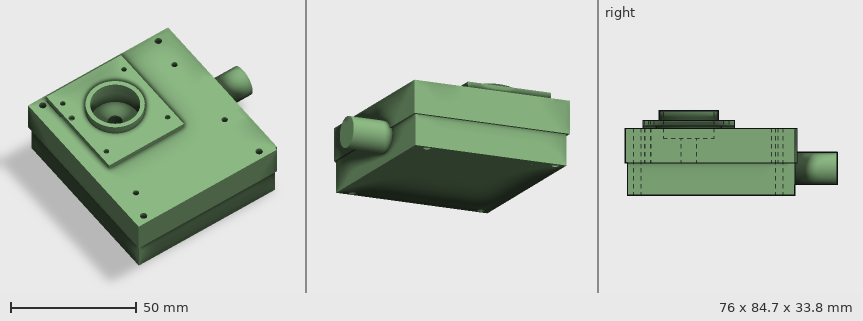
import cadquery as cq


TOP_LENGTH_X = 76.0
TOP_LENGTH_Y = 68.6
HOUSING_HEIGHT = 26.8
RAIL_HEIGHT = 13.0
RAIL_WIDTH = 5.0
OVERHANG_X = 1.2
OVERHANG_Y = 0.9

TUBE_DIAMETER = 13.0
TUBE_CENTER_X = 29.1
TUBE_CENTER_Z = 10.8
TOTAL_LENGTH_Y = 84.7

AXIS_X = 24.2
AXIS_Y = 25.4
BORE_DIAMETER = 20.0
BORE_FLOOR_Z = 22.8
FLOOR_HOLE_DIAMETER = 6.0

MOUNT_HOLE_DIAMETER = 3.0
MOUNT_INSET_X = 3.4
MOUNT_FRONT_Y = 4.8
MOUNT_BACK_Y = 61.4
SCREW_HOLE_DIAMETER = 2.5
ACCESS_SCREW = (17.4, 9.0)
OPEN_SCREWS = [(16.95, 59.65), (51.4, 59.65), (61.3, 9.15)]

FLANGE_LENGTH_X = 43.1
FLANGE_LENGTH_Y = 36.6
FLANGE_TOP_Z = 29.9
FLANGE_GAP = 0.9
FOOT_WIDTH = 9.75
SEAT_DIAMETER = 26.1
RING_DIAMETER = 23.6
TOTAL_HEIGHT = 33.8
FLANGE_HOLE_DIAMETER = 2.3
FLANGE_HOLE_PITCH = 30.0

BASE_LEFT_X = OVERHANG_X
BASE_RIGHT_X = TOP_LENGTH_X - OVERHANG_X
BASE_FRONT_Y = OVERHANG_Y
BASE_BACK_Y = TOP_LENGTH_Y - OVERHANG_Y
FLANGE_LEFT_X = AXIS_X - FLANGE_LENGTH_X / 2
FLANGE_RIGHT_X = AXIS_X + FLANGE_LENGTH_X / 2
FLANGE_FRONT_Y = AXIS_Y - FLANGE_LENGTH_Y / 2
FLANGE_BACK_Y = AXIS_Y + FLANGE_LENGTH_Y / 2
FLANGE_UNDERSIDE_Z = HOUSING_HEIGHT + FLANGE_GAP


def block(x_min, x_max, y_min, y_max, z_min, z_max):
    """A box between two opposite corners."""
    size = (x_max - x_min, y_max - y_min, z_max - z_min)
    return cq.Workplane("XY").box(*size, centered=False).translate((x_min, y_min, z_min))


def upright_cylinders(points, diameter, z_min, z_max):
    """Equal cylinders along Z, one at each (x, y) point."""
    plane = cq.Workplane("XY").workplane(offset=z_min)
    return plane.pushPoints(points).circle(diameter / 2).extrude(z_max - z_min)


def make_tube():
    """Round connector tube, from the back of the base outward."""
    back_plane = cq.Workplane("XZ", origin=(TUBE_CENTER_X, BASE_BACK_Y, TUBE_CENTER_Z))
    return back_plane.circle(TUBE_DIAMETER / 2).extrude(BASE_BACK_Y - TOTAL_LENGTH_Y)


def make_housing():
    """Thick top with two side rails, the tube, the bore and the screw holes."""
    housing = block(0, TOP_LENGTH_X, 0, TOP_LENGTH_Y, RAIL_HEIGHT, HOUSING_HEIGHT)

    housing = housing.cut(
        block(BASE_RIGHT_X, TOP_LENGTH_X, BASE_BACK_Y, TOP_LENGTH_Y, RAIL_HEIGHT, HOUSING_HEIGHT)
    )

    for rail_left_x in (BASE_LEFT_X, BASE_RIGHT_X - RAIL_WIDTH):
        rail_right_x = rail_left_x + RAIL_WIDTH
        housing = housing.union(
            block(rail_left_x, rail_right_x, BASE_FRONT_Y, BASE_BACK_Y, 0, RAIL_HEIGHT)
        )

    housing = housing.union(make_tube())

    axis = [(AXIS_X, AXIS_Y)]
    housing = housing.cut(upright_cylinders(axis, BORE_DIAMETER, BORE_FLOOR_Z, HOUSING_HEIGHT))
    housing = housing.cut(upright_cylinders(axis, FLOOR_HOLE_DIAMETER, RAIL_HEIGHT, BORE_FLOOR_Z))

    mount_points = [
        (x, y)
        for x in (MOUNT_INSET_X, TOP_LENGTH_X - MOUNT_INSET_X)
        for y in (MOUNT_FRONT_Y, MOUNT_BACK_Y)
    ]
    housing = housing.cut(upright_cylinders(mount_points, MOUNT_HOLE_DIAMETER, 0, HOUSING_HEIGHT))

    screw_points = [ACCESS_SCREW, *OPEN_SCREWS]
    return housing.cut(
        upright_cylinders(screw_points, SCREW_HOLE_DIAMETER, RAIL_HEIGHT, HOUSING_HEIGHT)
    )


def make_base():
    """Plain block that fills the space between the two rails."""
    return block(
        BASE_LEFT_X + RAIL_WIDTH, BASE_RIGHT_X - RAIL_WIDTH, BASE_FRONT_Y, BASE_BACK_Y, 0, RAIL_HEIGHT
    )


def make_flange():
    """Plate with a ring on top, carried by a round seat and a foot along its left side."""
    flange = block(
        FLANGE_LEFT_X, FLANGE_RIGHT_X, FLANGE_FRONT_Y, FLANGE_BACK_Y, FLANGE_UNDERSIDE_Z, FLANGE_TOP_Z
    )
    foot = block(
        FLANGE_LEFT_X,
        FLANGE_LEFT_X + FOOT_WIDTH,
        FLANGE_FRONT_Y,
        FLANGE_BACK_Y,
        HOUSING_HEIGHT,
        FLANGE_UNDERSIDE_Z,
    )
    axis = [(AXIS_X, AXIS_Y)]
    seat = upright_cylinders(axis, SEAT_DIAMETER, HOUSING_HEIGHT, FLANGE_UNDERSIDE_Z)
    ring = upright_cylinders(axis, RING_DIAMETER, FLANGE_TOP_Z, TOTAL_HEIGHT)
    flange = flange.union(foot).union(seat).union(ring)

    flange = flange.cut(upright_cylinders(axis, BORE_DIAMETER, HOUSING_HEIGHT, TOTAL_HEIGHT))

    half_pitch = FLANGE_HOLE_PITCH / 2
    corner_points = [
        (AXIS_X + side_x * half_pitch, AXIS_Y + side_y * half_pitch)
        for side_x in (-1, 1)
        for side_y in (-1, 1)
    ]
    flange = flange.cut(
        upright_cylinders(corner_points, FLANGE_HOLE_DIAMETER, HOUSING_HEIGHT, FLANGE_TOP_Z)
    )

    return flange.cut(
        upright_cylinders([ACCESS_SCREW], SCREW_HOLE_DIAMETER, HOUSING_HEIGHT, FLANGE_TOP_Z)
    )


housing = make_housing()
base = make_base()
flange = make_flange()

result = cq.Compound.makeCompound([housing.val(), base.val(), flange.val()])